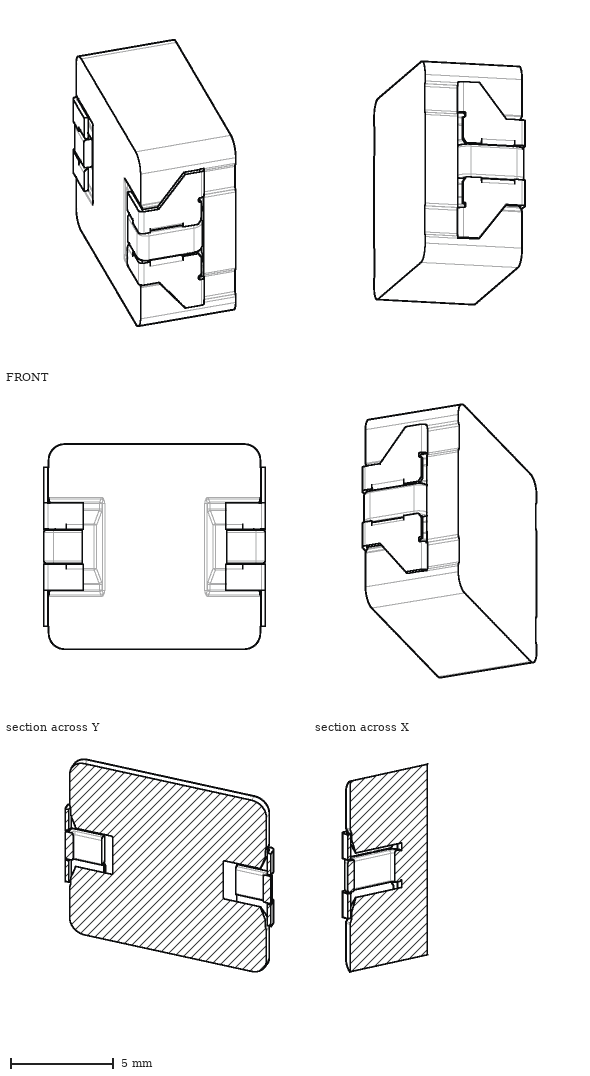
import cadquery as cq
import math


span = 10.8
block_width = 10.32
block_height = 10.0
block_depth = 4.87
corner_radius = 0.8
half_span = span / 2
half_width = block_width / 2
half_height = block_height / 2

sheet = 0.2
standoff = 0.13
terminal_back = 3.23
foot_end = 3.48
foot_half_height = 2.13
leg_half_height = 3.88
leg_embed = 0.32
slant_start = 0.85
slant_end = 2.2
slot_half_height = 0.85
slot_chamfer_depth = 0.15
slot_chamfer_height = 0.24
relief_width = 0.25
relief_depth = 0.33
relief_corner = 0.09

coin_radius = 0.23
foot_coin_end = 4.3
leg_coin_start = 0.42
leg_coin_end = 2.1

wire_half_height = 0.81
wire_thickness = 0.43
wire_edge_radius = 0.12
wire_end = 3.51
wire_front_bend = 0.46
wire_back_bend = 0.59
wire_embed = 0.86

blend = 0.17
pocket_end = 2.51
pocket_half_height = 2.38
pocket_depth = 0.11
pocket_slope = math.radians(25.4)
side_pocket_depth = 0.05
side_pocket_slope = math.radians(14.6)
end_wall_slope = math.radians(45)

channel_half_height = 1.8
channel_floor_half_height = 1.09
channel_drop = 0.27

recess_slope = math.radians(45)
recess_depth = 0.11
recess_top = leg_half_height - blend * math.tan(recess_slope / 2)
recess_bottom = 2.28

overlap = 0.11


def mirrored_outline(half):
    """Complete a half outline of (z, depth) points with its mirror image in z."""
    return half + [(-z, depth) for z, depth in reversed(half)]


def moulded_block():
    return (
        cq.Workplane("XZ")
        .rect(block_width, block_height)
        .extrude(-block_depth)
        .edges("|Y")
        .fillet(corner_radius)
    )


def front_cavity():
    """Tool for the front pocket and channel; an air slab over it lets the lips be rounded too."""
    channel_depth = pocket_depth + channel_drop
    half = [
        (pocket_half_height, 0),
        (pocket_half_height - pocket_depth / math.tan(pocket_slope), pocket_depth),
        (channel_half_height, pocket_depth),
        (channel_floor_half_height, channel_depth),
    ]
    walls = (
        cq.Workplane("YZ")
        .polyline([(y, z) for z, y in mirrored_outline(half)])
        .close()
        .extrude(span)
    )
    end_wall = (
        cq.Workplane("XY")
        .polyline([
            (pocket_end, 0),
            (pocket_end + channel_depth / math.tan(end_wall_slope), channel_depth),
            (span, channel_depth),
            (span, 0),
        ])
        .close()
        .extrude(half_height, both=True)
    )
    air = (
        cq.Workplane("XY", origin=(0, -overlap, 0))
        .box(span, overlap, block_height, centered=(False, False, True))
    )
    blended_edges = cq.selectors.BoxSelector(
        (pocket_end - overlap, -overlap / 2, -half_height + overlap),
        (span - overlap, channel_depth + overlap, half_height - overlap),
    )
    return walls.intersect(end_wall).union(air).edges(blended_edges).fillet(blend)


def side_cavity():
    """Tool for the pocket and channel on the side face, one profile swept along the depth."""
    pocket_floor = half_width - side_pocket_depth
    half = [
        (half_height, half_width + overlap),
        (half_height, half_width),
        (pocket_half_height, half_width),
        (pocket_half_height - side_pocket_depth / math.tan(side_pocket_slope), pocket_floor),
        (channel_half_height, pocket_floor),
        (channel_floor_half_height, pocket_floor - channel_drop),
    ]
    blended_edges = cq.selectors.BoxSelector(
        (0, 0, -half_height + overlap),
        (half_width + overlap / 2, terminal_back, half_height - overlap),
    )
    return (
        cq.Workplane("XZ")
        .polyline([(x, z) for z, x in mirrored_outline(half)])
        .close()
        .extrude(-terminal_back)
        .edges("|Y")
        .edges(blended_edges)
        .fillet(blend)
    )


def side_recess():
    """Tool for the upper side recess, running from the terminal to the back face."""
    floor = half_width - recess_depth
    slope_height = recess_depth / math.tan(recess_slope)
    blended_edges = cq.selectors.BoxSelector(
        (0, 0, overlap),
        (half_width + overlap / 2, block_depth, half_height - overlap),
    )
    return (
        cq.Workplane("XZ", origin=(0, terminal_back, 0))
        .polyline([
            (half_width + overlap, 0),
            (half_width, 0),
            (half_width, recess_bottom),
            (floor, recess_bottom + slope_height),
            (floor, recess_top - slope_height),
            (half_width, recess_top),
            (half_width, half_height),
            (half_width + overlap, half_height),
        ])
        .close()
        .extrude(terminal_back - block_depth)
        .edges("|Y")
        .edges(blended_edges)
        .fillet(blend)
    )


def bent_strip(foot_x, tail_x, thickness, front_bend, back_bend, strip_half_height):
    """Strip with a foot below the block, a leg up its side and a tail turned into it."""
    foot_y = -standoff
    leg_x = half_span - thickness
    strip = (
        cq.Workplane("XY")
        .polyline([
            (foot_x, foot_y),
            (half_span, foot_y),
            (half_span, terminal_back),
            (tail_x, terminal_back),
            (tail_x, terminal_back - thickness),
            (leg_x, terminal_back - thickness),
            (leg_x, foot_y + thickness),
            (foot_x, foot_y + thickness),
        ])
        .close()
        .extrude(strip_half_height, both=True)
    )
    bends = [
        (half_span, foot_y, front_bend),
        (half_span, terminal_back, back_bend),
        (leg_x, foot_y + thickness, front_bend - thickness),
        (leg_x, terminal_back - thickness, back_bend - thickness),
    ]
    for x, y, radius in bends:
        if radius > 0:
            bend_edge = cq.selectors.NearestToPointSelector((x, y, 0))
            strip = strip.edges(bend_edge).fillet(radius)
    return strip


def terminal_outline():
    """Upper half of the terminal as seen on the side: full height at the back, slanting to the foot."""
    leg_end = terminal_back - sheet
    relief_top = foot_half_height + relief_width
    blank = (
        cq.Workplane("YZ")
        .polyline([
            (-standoff, slot_half_height),
            (-standoff, foot_half_height),
            (slant_start, foot_half_height),
            (slant_end, leg_half_height),
            (terminal_back, leg_half_height),
            (terminal_back, relief_top),
            (leg_end, relief_top),
            (leg_end, slot_half_height + slot_chamfer_height),
            (leg_end - slot_chamfer_depth, slot_half_height),
        ])
        .close()
        .extrude(span)
    )
    relief = (
        cq.Workplane("YZ")
        .center(terminal_back - relief_depth / 2, foot_half_height + relief_width / 2)
        .rect(relief_depth, relief_width)
        .extrude(span)
        .edges("|X and <Y")
        .fillet(relief_corner)
    )
    return blank.cut(relief)


def foot_coin():
    """Tool rounding the slot edge on the foot."""
    return (
        cq.Workplane("YZ", origin=(foot_end, 0, 0))
        .moveTo(-standoff, slot_half_height + coin_radius)
        .radiusArc((-standoff + coin_radius, slot_half_height), -coin_radius)
        .lineTo(-standoff, slot_half_height)
        .close()
        .extrude(foot_coin_end - foot_end)
    )


def leg_coin():
    """Tool rounding the slot edge on the leg."""
    return (
        cq.Workplane("XZ", origin=(0, leg_coin_start, 0))
        .moveTo(half_span, slot_half_height + coin_radius)
        .radiusArc((half_span - coin_radius, slot_half_height), coin_radius)
        .lineTo(half_span, slot_half_height)
        .close()
        .extrude(leg_coin_start - leg_coin_end)
    )


def upper_terminal():
    tail_x = half_width - leg_embed
    strip = bent_strip(foot_end, tail_x, sheet, sheet, sheet, leg_half_height)
    return strip.intersect(terminal_outline()).cut(foot_coin()).cut(leg_coin())


def wire():
    """Flat wire with all four long edges rounded."""
    tail_x = half_width - wire_embed
    strip = bent_strip(
        wire_end, tail_x, wire_thickness, wire_front_bend, wire_back_bend, wire_half_height
    )
    end_edges = "(|Y and <X) or (|Y and >X)"
    return strip.faces("<Z or >Z").edges("not (" + end_edges + ")").fillet(wire_edge_radius)


def right_and_left(shape):
    return [shape, shape.mirror("YZ")]


recess = side_recess()
cavities = [front_cavity(), side_cavity(), recess, recess.mirror("XY")]
terminal = upper_terminal()
metal_parts = [terminal, terminal.mirror("XY"), wire()]

result = moulded_block()
for cavity in cavities:
    for tool in right_and_left(cavity):
        result = result.cut(tool)
for metal in metal_parts:
    for piece in right_and_left(metal):
        result = result.union(piece)